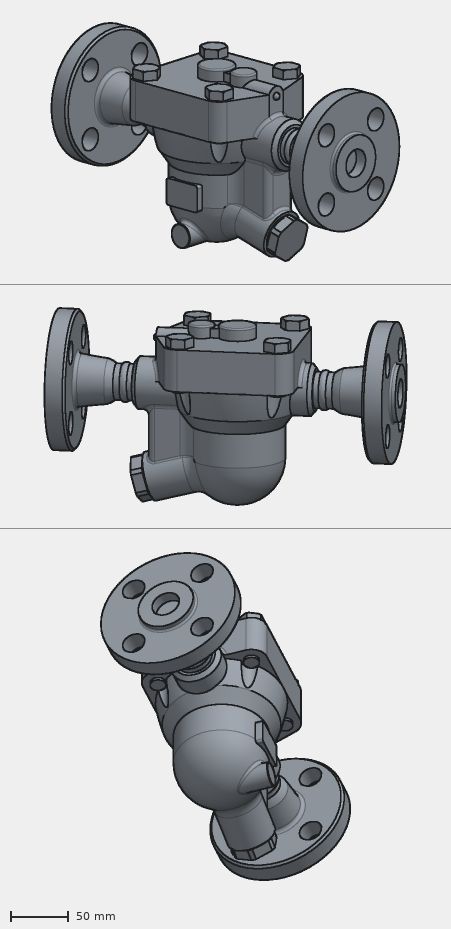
import cadquery as cq
import math

overall_length = 309.0
half_length = overall_length / 2

raised_face_radius = 25.3
raised_face_thickness = 5.5
raised_face_root = 2.0
flange_radius = 124.0 / 2
flange_back = 23.5
flange_edge = 2.2
bolt_hole_diameter = 20.5
bolt_hole_offset = 31.5
bore_diameter = 25.0
bore_depth = 10.8
neck_root_fillet = 3.5
neck_root_radius = 23.2
neck_taper_end = 50.5
neck_taper_end_radius = 20.0
neck_small_end = 57.8
neck_bulge = 0.45
pipe_radius = 16.0
bead_start = 63.3
bead_end = 69.8
bead_height = 1.5
hub_radius = 23.2
hub_face = 74.8
hub_edge_length = 3.7
hub_edge_depth = 4.3

axis_x = -10.5
bolt_spacing = 86.2
half_spacing = bolt_spacing / 2
plate_corner_radius = 14.2
plate_end_x = 60.0
plate_end_half_width = 9.0
plate_bottom = 6.8
plate_top = 44.2
hub_fillet = 3.5

flare_radius = 57.5
flare_mid_radius = 55.0
belly_radius = 51.5
belly_z = -19.2
shoulder_z = -32.8
bowl_radius = 42.0
bowl_centre_z = -62.7

bolt_corner_diameter = 25.0
bolt_head_height = 8.5
bolt_head_chamfer = 1.0
bolt_shank_diameter = 14.0
bolt_end_z = 4.0
scallop_radius = 9.0

main_boss_diameter = 33.0
small_boss_diameter = 23.2
small_boss_x = 21.3
boss_top = 55.5
boss_edge_fillet = 1.5
bridge_width = 14.0
bridge_top = 52.5
rib_top = 50.0
ball_radius = 3.5
ball_z = 41.0

web_half_width = 16.7
web_end_x = 65.8
web_edge_fillet = 6.0
web_hub_fillet = 6.0
web_bowl_fillet = 15.8

branch_angle = 15.0
branch_radius = 22.0
branch_length = 79.7
branch_root_fillet = 15.8
branch_web_fillet = 3.0
plug_flats = 37.0
plug_diameter = 40.5
plug_thickness = 10.5
collar_radius = 18.5
collar_length = 1.5

pad_width = 36.5
pad_height = 24.5
pad_centre_z = -54.0
pad_face_y = -44.5
pad_corner_radius = 2.5
drain_diameter = 22.0
drain_z = -91.0
drain_face_y = -46.5
drain_fillet = 3.0
drain_chamfer = 0.5

margin = 1.5


def bolt_positions():
    """Centres of the four cover bolts, on a square about the body axis."""
    return [(axis_x + sx * half_spacing, sy * half_spacing) for sx in (-1, 1) for sy in (-1, 1)]


def pipe_end():
    """Flange, welding neck, weld bead and hub at the -X end, bored from the end face."""
    face_end = raised_face_thickness
    root_mid = raised_face_root * (1 - math.sqrt(0.5))
    bead_mid = (bead_start + bead_end) / 2
    taper_mid = (neck_taper_end + neck_small_end) / 2
    taper_mid_radius = (neck_taper_end_radius + pipe_radius) / 2 + neck_bulge
    profile = (
        cq.Workplane("XY")
        .lineTo(0, raised_face_radius)
        .lineTo(face_end - raised_face_root, raised_face_radius)
        .threePointArc(
            (face_end - root_mid, raised_face_radius + root_mid),
            (face_end, raised_face_radius + raised_face_root),
        )
        .lineTo(face_end, flange_radius)
        .lineTo(flange_back - flange_edge, flange_radius)
        .lineTo(flange_back, flange_radius - flange_edge)
        .lineTo(flange_back, neck_root_radius + neck_root_fillet)
        .radiusArc((flange_back + neck_root_fillet, neck_root_radius), -neck_root_fillet)
        .lineTo(neck_taper_end, neck_taper_end_radius)
        .threePointArc((taper_mid, taper_mid_radius), (neck_small_end, pipe_radius))
        .lineTo(bead_start, pipe_radius)
        .threePointArc((bead_mid, pipe_radius + bead_height), (bead_end, pipe_radius))
        .lineTo(hub_face, pipe_radius)
        .lineTo(hub_face, hub_radius - hub_edge_depth)
        .lineTo(hub_face + hub_edge_length, hub_radius)
        .lineTo(half_length, hub_radius)
        .lineTo(half_length, 0)
        .close()
    )
    run = profile.revolve(360, (0, 0, 0), (1, 0, 0)).translate((-half_length, 0, 0))
    holes = (
        cq.Workplane("YZ", origin=(-half_length, 0, 0))
        .rect(2 * bolt_hole_offset, 2 * bolt_hole_offset, forConstruction=True)
        .vertices()
        .circle(bolt_hole_diameter / 2)
        .extrude(flange_back)
    )
    bore = cq.Workplane("YZ", origin=(-half_length, 0, 0)).circle(bore_diameter / 2).extrude(bore_depth)
    return run.cut(holes).cut(bore)


def plate_outline(bottom):
    """Cover outline: rounded square at -X, tapering to a short flat at +X."""
    bolt_x = axis_x + half_spacing
    left_x = axis_x - half_spacing - plate_corner_radius
    side_y = half_spacing + plate_corner_radius
    corner_45 = plate_corner_radius * math.sqrt(0.5)
    reach_x = plate_end_x - bolt_x
    reach_y = plate_end_half_width - half_spacing
    reach = math.hypot(reach_x, reach_y)
    tangent_angle = math.atan2(reach_y, reach_x) + math.acos(plate_corner_radius / reach)
    mid_angle = (tangent_angle + math.pi / 2) / 2

    def corner(angle, side):
        return (
            bolt_x + plate_corner_radius * math.cos(angle),
            side * (half_spacing + plate_corner_radius * math.sin(angle)),
        )

    left_mid_x = axis_x - half_spacing - corner_45
    return (
        cq.Workplane("XY", origin=(0, 0, bottom))
        .moveTo(plate_end_x, -plate_end_half_width)
        .lineTo(plate_end_x, plate_end_half_width)
        .lineTo(*corner(tangent_angle, 1))
        .threePointArc(corner(mid_angle, 1), (bolt_x, side_y))
        .lineTo(axis_x - half_spacing, side_y)
        .threePointArc((left_mid_x, half_spacing + corner_45), (left_x, half_spacing))
        .lineTo(left_x, -half_spacing)
        .threePointArc((left_mid_x, -half_spacing - corner_45), (axis_x - half_spacing, -side_y))
        .lineTo(bolt_x, -side_y)
        .threePointArc(corner(mid_angle, -1), corner(tangent_angle, -1))
        .close()
    )


def plate():
    """Cover and body flange, blended into the two pipe hubs above the flange underside."""
    hub_reach = half_length - hub_face - hub_edge_length
    hub = cq.Workplane("YZ", origin=(-hub_reach, 0, 0)).circle(hub_radius).extrude(2 * hub_reach)
    block = plate_outline(-plate_top).extrude(2 * plate_top)
    crossing = cq.selectors.BoxSelector(
        (-hub_reach + margin, -hub_radius - margin, -hub_radius - margin),
        (hub_reach - margin, hub_radius + margin, hub_radius + margin),
    )
    blended = block.union(hub).edges(crossing).fillet(hub_fillet)
    above = cq.Workplane("XY", origin=(0, 0, plate_bottom)).rect(overall_length, overall_length)
    return blended.intersect(above.extrude(plate_top))


def bowl():
    """Flared neck, shoulder, cylinder and hemispherical bottom, scalloped below the bolts."""
    flare_mid_z = (plate_bottom + belly_z) / 2
    bowl_45 = bowl_radius * math.sqrt(0.5)
    body = (
        cq.Workplane("XZ")
        .moveTo(0, plate_bottom)
        .lineTo(flare_radius, plate_bottom)
        .threePointArc((flare_mid_radius, flare_mid_z), (belly_radius, belly_z))
        .lineTo(bowl_radius, shoulder_z)
        .lineTo(bowl_radius, bowl_centre_z)
        .threePointArc((bowl_45, bowl_centre_z - bowl_45), (0, bowl_centre_z - bowl_radius))
        .close()
        .revolve(360, (0, 0, 0), (0, 1, 0))
        .translate((axis_x, 0, 0))
    )
    scallops = (
        cq.Workplane("XY", origin=(0, 0, shoulder_z))
        .pushPoints(bolt_positions())
        .circle(scallop_radius)
        .extrude(plate_bottom - shoulder_z)
    )
    return body.cut(scallops)


def web_foot():
    """Lower part of the web where it widens into the bowl, tangent to the bowl and to the web faces."""
    blend_centre_y = web_half_width + web_bowl_fillet
    blend_centre_x = math.sqrt((bowl_radius + web_bowl_fillet) ** 2 - blend_centre_y**2)
    contact = bowl_radius / (bowl_radius + web_bowl_fillet)
    contact_x = axis_x + contact * blend_centre_x
    contact_y = contact * blend_centre_y
    face_x = axis_x + blend_centre_x
    foot = (
        cq.Workplane("XY", origin=(0, 0, bowl_centre_z - branch_radius))
        .moveTo(axis_x, -contact_y)
        .lineTo(contact_x, -contact_y)
        .radiusArc((face_x, -web_half_width), web_bowl_fillet)
        .lineTo(face_x, web_half_width)
        .radiusArc((contact_x, contact_y), web_bowl_fillet)
        .lineTo(axis_x, contact_y)
        .close()
        .extrude(belly_z - bowl_centre_z + branch_radius)
    )
    return foot.intersect(above_branch_axis())


def incline(shape):
    """Move a shape built along +X from the origin onto the branch axis."""
    return shape.rotate((0, 0, 0), (0, 1, 0), branch_angle).translate((axis_x, 0, bowl_centre_z))


def above_branch_axis():
    upper_half = cq.Workplane("XY").box(
        overall_length, overall_length, half_length, centered=(True, True, False)
    )
    return incline(upper_half)


def branch():
    """Inclined strainer branch from the bowl centre, with a blended root, collar and hexagon plug."""
    blend_radial = branch_radius + branch_root_fillet
    blend_along = math.sqrt((bowl_radius + branch_root_fillet) ** 2 - blend_radial**2)
    contact = bowl_radius / (bowl_radius + branch_root_fillet)
    contact_radial = contact * blend_radial
    collar_end = branch_length + collar_length
    barrel = (
        cq.Workplane("XY")
        .lineTo(0, contact_radial)
        .lineTo(contact * blend_along, contact_radial)
        .radiusArc((blend_along, branch_radius), -branch_root_fillet)
        .lineTo(branch_length, branch_radius)
        .lineTo(branch_length, collar_radius)
        .lineTo(collar_end, collar_radius)
        .lineTo(collar_end, 0)
        .close()
        .revolve(360, (0, 0, 0), (1, 0, 0))
    )
    plug_face = cq.Workplane("YZ", origin=(collar_end, 0, 0))
    hexagon = plug_face.polygon(6, plug_flats, circumscribed=True).extrude(plug_thickness)
    plug = hexagon.intersect(plug_face.circle(plug_diameter / 2).extrude(plug_thickness))
    return incline(barrel.union(plug))


def web_wall():
    """Upright wall from the outlet hub down to the branch axis, blended into the hub."""
    wall = (
        cq.Workplane("XY", origin=(axis_x, 0, 0))
        .box(web_end_x - axis_x, 2 * web_half_width, half_length, centered=(False, True, False))
        .translate((0, 0, -half_length))
        .edges("|Z and >X")
        .fillet(web_edge_fillet)
        .intersect(above_branch_axis())
    )
    hub_length = half_length - hub_face - hub_edge_length - axis_x
    hub = cq.Workplane("YZ", origin=(axis_x, 0, 0)).circle(hub_radius).extrude(hub_length)
    hub_joint = cq.selectors.BoxSelector(
        (axis_x + margin, -hub_radius, -hub_radius - margin),
        (web_end_x + margin, hub_radius, -margin),
    )
    return wall.union(hub).edges(hub_joint).fillet(web_hub_fillet)


def bolt_ends():
    """Shank ends showing just below the body flange."""
    return (
        cq.Workplane("XY", origin=(0, 0, bolt_end_z))
        .pushPoints(bolt_positions())
        .circle(bolt_shank_diameter / 2)
        .extrude(plate_top - bolt_end_z)
    )


def bolt_head(x, y):
    """Hexagon head; heads on one diagonal are turned by half a flat."""
    turn = 0 if (x - axis_x) * y > 0 else 90
    head = cq.Workplane("XY").polygon(6, bolt_corner_diameter).extrude(bolt_head_height)
    crown = cq.Workplane("XY").circle(bolt_corner_diameter / 2).extrude(bolt_head_height)
    head = head.intersect(crown.faces(">Z").chamfer(bolt_head_chamfer))
    return head.rotate((0, 0, 0), (0, 0, 1), turn).translate((x, y, plate_top))


def cover_bosses():
    """Two round bosses joined by a bridge, the rounded rib running to the +X edge, and its ball."""
    bosses = cq.Workplane("XY")
    for x, diameter in ((axis_x, main_boss_diameter), (small_boss_x, small_boss_diameter)):
        boss = cq.Workplane("XY", origin=(x, 0, plate_top)).circle(diameter / 2).extrude(boss_top - plate_top)
        bosses = bosses.add(boss.faces(">Z").edges().fillet(boss_edge_fillet))
    bosses = bosses.combine()
    bridge = cq.Workplane("XY").box(
        small_boss_x - axis_x, bridge_width, bridge_top - plate_top, centered=(False, True, False)
    )
    rib = (
        cq.Workplane("YZ", origin=(small_boss_x, 0, 0))
        .moveTo(-plate_end_half_width, plate_top)
        .threePointArc((0, rib_top), (plate_end_half_width, plate_top))
        .close()
        .extrude(plate_end_x - small_boss_x)
    )
    ball = cq.Workplane("XY").sphere(ball_radius).translate((plate_end_x, 0, ball_z))
    return bosses.union(bridge.translate((axis_x, 0, plate_top))).union(rib).union(ball)


def pad():
    """Rectangular nameplate pad standing proud of the bowl."""
    return (
        cq.Workplane("XZ", origin=(axis_x, pad_face_y, pad_centre_z))
        .rect(pad_width, pad_height)
        .extrude(pad_face_y)
        .edges("|Y")
        .fillet(pad_corner_radius)
    )


def bowl_with_drain():
    """Bowl with the round drain boss blended into its lower -Y side."""
    drain = (
        cq.Workplane("XZ", origin=(axis_x, 0, drain_z))
        .circle(drain_diameter / 2)
        .extrude(-drain_face_y)
        .faces("<Y")
        .chamfer(drain_chamfer)
    )
    joint = cq.selectors.BoxSelector(
        (axis_x - drain_diameter, drain_face_y + margin, drain_z - drain_diameter),
        (axis_x + drain_diameter, -margin, drain_z + drain_diameter),
    )
    return bowl().union(drain).edges(joint).fillet(drain_fillet)


def lower_body():
    """Bowl, web and branch joined, with the seam between web and branch blended all round."""
    joint = cq.selectors.BoxSelector(
        (axis_x + bowl_radius - web_half_width, -branch_radius, bowl_centre_z - web_edge_fillet),
        (web_end_x + margin, branch_radius, bowl_centre_z + web_edge_fillet),
    )
    joined = bowl_with_drain().union(web_foot()).union(web_wall()).union(branch())
    return joined.edges(joint).edges("not %CIRCLE").fillet(branch_web_fillet)


result = lower_body().union(plate()).union(pad()).union(bolt_ends()).union(cover_bosses())
for bolt_x, bolt_y in bolt_positions():
    result = result.union(bolt_head(bolt_x, bolt_y))
inlet = pipe_end()
result = result.union(inlet).union(inlet.mirror("YZ"))